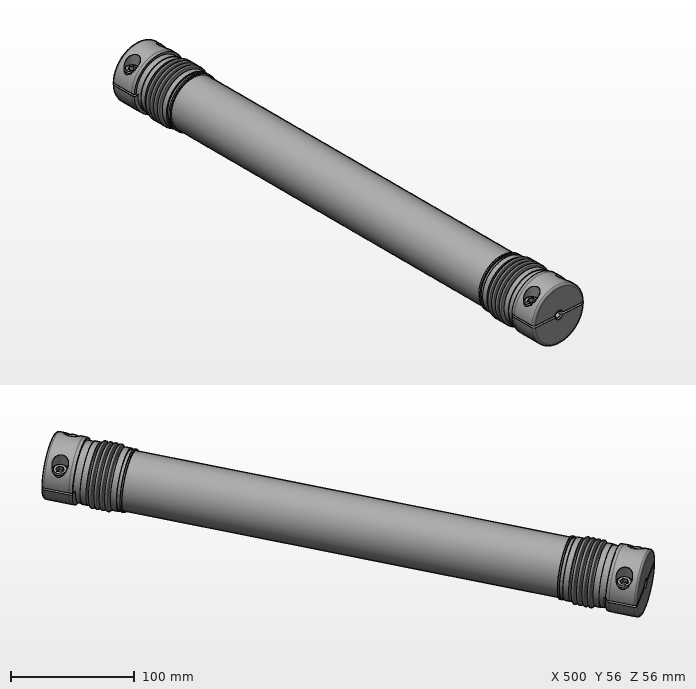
import cadquery as cq
import math

LENGTH = 500.0
HALF_LENGTH = LENGTH / 2
TUBE_DIAMETER = 50.0

HUB_DIAMETER = 56.0
HUB_RADIUS = HUB_DIAMETER / 2
HUB_LENGTH = 26.0
HUB_FRONT_FILLET = 2.0
HUB_BACK_CHAMFER_LENGTH = 3.0
HUB_BACK_CHAMFER_DEPTH = 0.15
NECK_DIAMETER = 51.5
CENTRE_HOLE_DIAMETER = 6.0
COUNTERSINK_DIAMETER = 8.5
CENTRE_HOLE_DEPTH = HUB_LENGTH

SLIT_WIDTH = 2.0
CROSS_SLIT_END = HUB_LENGTH + SLIT_WIDTH

SCREW_FROM_END = 13.0
SCREW_OFFSET = 18.0
COUNTERBORE_DIAMETER = 13.5
HEAD_DIAMETER = 13.0
HEAD_CHAMFER = 1.0
HEAD_SEAT_HEIGHT = 6.0
HEAD_TOP_HEIGHT = 16.0
SOCKET_WIDTH = 6.0
SOCKET_DEPTH = 4.0
SCREW_DIAMETER = 7.0
SCREW_TIP_HEIGHT = -15.0

COLLAR_DIAMETER = 52.5
COLLAR_LENGTH = 5.0
FIRST_COLLAR_START = 32.0
BELLOWS_START = FIRST_COLLAR_START + COLLAR_LENGTH
BELLOWS_LENGTH = 20.5
BELLOWS_END = BELLOWS_START + BELLOWS_LENGTH
SECOND_COLLAR_END = BELLOWS_END + COLLAR_LENGTH
CREST_COUNT = 4
CREST_PITCH = 4.5
FOLD_RADIUS = CREST_PITCH / 4
CREST_RADIUS = HUB_RADIUS
ROOT_RADIUS = 20.0

BEAD_START = 65.5
BEAD_LENGTH = 1.5


def end_profile():
    """Half section of one end, from its end face at x = 0 to the middle of the tube."""
    fillet_inset = HUB_FRONT_FILLET * (1 - math.sqrt(0.5))
    neck_radius = NECK_DIAMETER / 2
    collar_radius = COLLAR_DIAMETER / 2
    tube_radius = TUBE_DIAMETER / 2
    bead_end = BEAD_START + BEAD_LENGTH
    section = (
        cq.Workplane("XY")
        .moveTo(0, 0)
        .lineTo(0, HUB_RADIUS - HUB_FRONT_FILLET)
        .threePointArc((fillet_inset, HUB_RADIUS - fillet_inset), (HUB_FRONT_FILLET, HUB_RADIUS))
        .lineTo(HUB_LENGTH - HUB_BACK_CHAMFER_LENGTH, HUB_RADIUS)
        .lineTo(HUB_LENGTH, HUB_RADIUS - HUB_BACK_CHAMFER_DEPTH)
        .lineTo(HUB_LENGTH, neck_radius)
        .lineTo(FIRST_COLLAR_START, neck_radius)
        .lineTo(FIRST_COLLAR_START, collar_radius)
        .lineTo(BELLOWS_START, collar_radius)
    )
    section = add_bellows(section)
    return (
        section.lineTo(BELLOWS_END, collar_radius)
        .lineTo(SECOND_COLLAR_END, collar_radius)
        .lineTo(SECOND_COLLAR_END, tube_radius)
        .lineTo(BEAD_START, tube_radius)
        .lineTo(BEAD_START, collar_radius)
        .lineTo(bead_end, collar_radius)
        .lineTo(bead_end, tube_radius)
        .lineTo(HALF_LENGTH, tube_radius)
        .lineTo(HALF_LENGTH, 0)
        .close()
    )


def add_bellows(section):
    """Round folds: half-circle crests with straight walls between half-circle roots."""
    first_crest = (BELLOWS_START + BELLOWS_END - (CREST_COUNT - 1) * CREST_PITCH) / 2
    end_root_radius = (first_crest - FOLD_RADIUS - BELLOWS_START) / 2
    end_root_top = ROOT_RADIUS + end_root_radius
    wall_bottom = ROOT_RADIUS + FOLD_RADIUS
    wall_top = CREST_RADIUS - FOLD_RADIUS

    section = section.lineTo(BELLOWS_START, end_root_top).threePointArc(
        (BELLOWS_START + end_root_radius, ROOT_RADIUS),
        (BELLOWS_START + 2 * end_root_radius, end_root_top),
    )
    for index in range(CREST_COUNT):
        crest = first_crest + index * CREST_PITCH
        wall_end = crest + FOLD_RADIUS
        section = section.lineTo(crest - FOLD_RADIUS, wall_top)
        section = section.threePointArc((crest, CREST_RADIUS), (wall_end, wall_top))
        if index < CREST_COUNT - 1:
            root = crest + CREST_PITCH / 2
            section = section.lineTo(wall_end, wall_bottom)
            section = section.threePointArc((root, ROOT_RADIUS), (root + FOLD_RADIUS, wall_bottom))
    return section.lineTo(BELLOWS_END - 2 * end_root_radius, end_root_top).threePointArc(
        (BELLOWS_END - end_root_radius, ROOT_RADIUS), (BELLOWS_END, end_root_top)
    )


def clamp_slits():
    """Flat slit along the axis plane, and a cross slit behind the lower cap."""
    flat_slit = cq.Workplane("XY").box(
        CROSS_SLIT_END, HUB_DIAMETER, SLIT_WIDTH, centered=(False, True, True)
    )
    cross_slit = (
        cq.Workplane("XY")
        .box(SLIT_WIDTH, HUB_DIAMETER, HUB_RADIUS, centered=(False, True, False))
        .translate((HUB_LENGTH, 0, -HUB_RADIUS))
    )
    return flat_slit.union(cross_slit)


def at_screws(height):
    """Workplane at the given height with a point on each screw axis."""
    return (
        cq.Workplane("XY", origin=(0, 0, height))
        .pushPoints([(SCREW_FROM_END, SCREW_OFFSET), (SCREW_FROM_END, -SCREW_OFFSET)])
    )


def screw_holes():
    """Counterbores from above and through holes for the clamp screws."""
    counterbores = at_screws(HEAD_SEAT_HEIGHT).circle(COUNTERBORE_DIAMETER / 2).extrude(HUB_RADIUS)
    holes = at_screws(-HUB_RADIUS).circle(SCREW_DIAMETER / 2).extrude(HUB_DIAMETER)
    return counterbores.union(holes)


def screws():
    """Socket head screws that hold the lower cap."""
    shank_length = HEAD_TOP_HEIGHT - SCREW_TIP_HEIGHT
    heads = (
        at_screws(HEAD_SEAT_HEIGHT)
        .circle(HEAD_DIAMETER / 2)
        .extrude(HEAD_TOP_HEIGHT - HEAD_SEAT_HEIGHT)
        .faces(">Z")
        .chamfer(HEAD_CHAMFER)
    )
    shanks = at_screws(SCREW_TIP_HEIGHT).circle(SCREW_DIAMETER / 2).extrude(shank_length)
    socket_diameter = SOCKET_WIDTH / math.cos(math.pi / 6)
    sockets = at_screws(HEAD_TOP_HEIGHT).polygon(6, socket_diameter).extrude(-SOCKET_DEPTH)
    return heads.union(shanks).cut(sockets)


def centre_hole():
    """Blind hole on the axis with a 90 degree countersink at the end face."""
    hole_radius = CENTRE_HOLE_DIAMETER / 2
    countersink_radius = COUNTERSINK_DIAMETER / 2
    return (
        cq.Workplane("XY")
        .moveTo(0, 0)
        .lineTo(0, countersink_radius)
        .lineTo(countersink_radius - hole_radius, hole_radius)
        .lineTo(CENTRE_HOLE_DEPTH, hole_radius)
        .lineTo(CENTRE_HOLE_DEPTH, 0)
        .close()
        .revolve(360, (0, 0, 0), (1, 0, 0))
    )


def coupling_end():
    """One end of the coupling with half of the tube."""
    body = end_profile().revolve(360, (0, 0, 0), (1, 0, 0))
    body = body.cut(clamp_slits()).cut(centre_hole()).cut(screw_holes())
    return body.union(screws()).translate((-HALF_LENGTH, 0, 0))


left_end = coupling_end()
result = left_end.union(left_end.mirror("YZ")).clean()